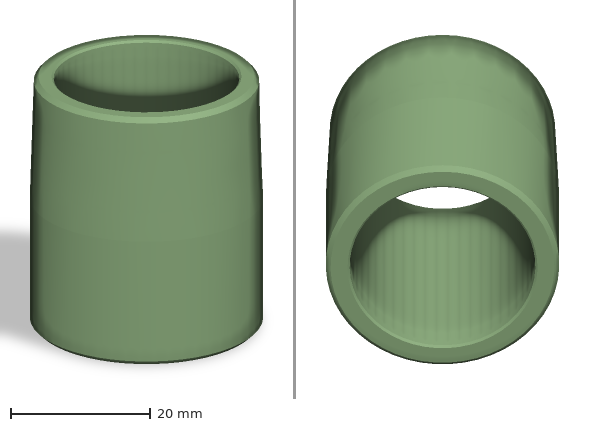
import cadquery as cq

height = 38.1
outer_radius = 16.75
bore_radius = 13.35

taper_start = 19.28
top_radius = 16.2

outer_chamfer = 0.7
bore_chamfer = 0.3

shoulder_height = height - outer_chamfer

section = (
    cq.Workplane("XZ")
    .moveTo(bore_radius + bore_chamfer, 0)
    .lineTo(outer_radius - outer_chamfer, 0)
    .lineTo(outer_radius, outer_chamfer)
    .lineTo(outer_radius, taper_start)
    .lineTo(top_radius, shoulder_height)
    .lineTo(top_radius - outer_chamfer, height)
    .lineTo(bore_radius + bore_chamfer, height)
    .lineTo(bore_radius, height - bore_chamfer)
    .lineTo(bore_radius, bore_chamfer)
    .close()
)

result = section.revolve(360, (0, 0, 0), (0, 1, 0))